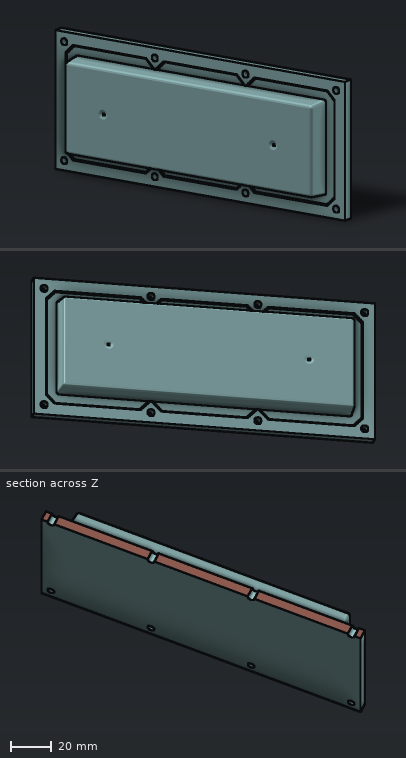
import cadquery as cq
import math

plate_length = 172.9
plate_height = 71.2
plate_thickness = 5.5

boss_length = 149.7
boss_height = 48.8
boss_rise = 10.5
boss_draft_angle = 5.0
boss_fillet = 1.5

screw_hole_diameter = 3.5
screw_hole_inset = 5.2
screw_columns = 4

recess_inset = 6.0
recess_depth = 0.6
recess_wall_angle = 45.0
screw_land_reach = 6.2

dimple_diameter = 5.0
dimple_angle = 150.0
dimple_spacing = 101.7
pilot_diameter = 1.0
pilot_depth = 2.6

screw_span_x = plate_length - 2 * screw_hole_inset
screw_row_z = plate_height / 2 - screw_hole_inset
screw_pitch = screw_span_x / (screw_columns - 1)
screw_centers = [
    (-screw_span_x / 2 + column * screw_pitch, row * screw_row_z)
    for column in range(screw_columns)
    for row in (-1, 1)
]

recess_floor_y = recess_depth
boss_face_y = -boss_rise


def workplane_at(sketch_y):
    """Workplane parallel to XZ at the given Y, with its normal toward -Y."""
    return cq.Workplane("XZ", origin=(0, sketch_y, 0))


def make_plate():
    return workplane_at(plate_thickness).rect(plate_length, plate_height).extrude(plate_thickness)


def make_recess():
    """Shallow recess with a diamond of full-height land left around each screw hole.

    Every wall slopes at 45 degrees, so the floor outline is set in by the recess depth.
    """
    recess = (
        workplane_at(0)
        .rect(plate_length - 2 * recess_inset, plate_height - 2 * recess_inset)
        .extrude(-recess_depth, taper=recess_wall_angle)
    )
    lands = (
        workplane_at(recess_floor_y)
        .pushPoints(screw_centers)
        .polygon(4, 2 * (screw_land_reach + recess_depth * math.sqrt(2)))
        .extrude(recess_depth, taper=recess_wall_angle)
    )
    return recess.cut(lands)


def make_boss():
    """Tapered block standing on the recess floor, rounded on its face and corners."""
    floor_growth = 2 * recess_depth * math.tan(math.radians(boss_draft_angle))
    block = (
        workplane_at(recess_floor_y)
        .rect(boss_length + floor_growth, boss_height + floor_growth)
        .extrude(boss_rise + recess_depth, taper=boss_draft_angle)
    )
    return block.edges("not >Y").fillet(boss_fillet)


def make_screw_holes():
    return (
        workplane_at(plate_thickness)
        .pushPoints(screw_centers)
        .circle(screw_hole_diameter / 2)
        .extrude(plate_thickness)
    )


def make_dimple(center_x):
    """Shallow cone sunk into the boss face, with a tiny blind pilot hole at its centre."""
    radius = dimple_diameter / 2
    depth = radius / math.tan(math.radians(dimple_angle / 2))
    mouth = (center_x, boss_face_y, 0)
    inward = (0, 1, 0)
    cone = cq.Solid.makeCone(radius, 0, depth, pnt=mouth, dir=inward)
    pilot = cq.Solid.makeCylinder(pilot_diameter / 2, pilot_depth, pnt=mouth, dir=inward)
    return cone.fuse(pilot)


result = make_plate().cut(make_recess()).union(make_boss()).cut(make_screw_holes())
for side in (-1, 1):
    result = result.cut(make_dimple(side * dimple_spacing / 2))